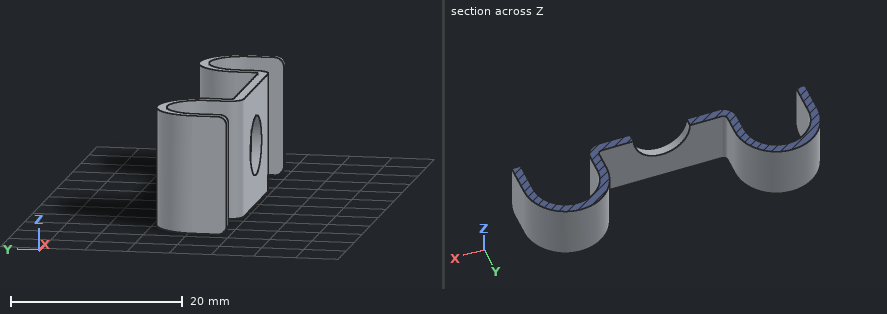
import cadquery as cq

thickness = 1.2
width = 14.0
overall_length = 36.8
overall_depth = 9.2
saddle_inner_radius = 4.0
bend_inner_radius = 0.5
hole_diameter = 7.0
leg_corner_radius = 1.0

saddle_outer_radius = saddle_inner_radius + thickness
bend_outer_radius = bend_inner_radius + thickness
saddle_x = overall_length / 2 - saddle_outer_radius
base_y = -overall_depth / 2
saddle_y = overall_depth / 2 - saddle_outer_radius
web_outer_x = saddle_x - saddle_inner_radius
web_inner_x = web_outer_x - thickness
bend_x = web_outer_x - bend_outer_radius
bend_y = base_y + bend_outer_radius


def sheet_ring(center_x, center_y, outer_radius):
    """Ring of sheet thickness around a bend axis, over the full strip width."""
    return (
        cq.Workplane("XY", origin=(center_x, center_y, -width / 2))
        .circle(outer_radius)
        .circle(outer_radius - thickness)
        .extrude(width)
    )


def block(x_min, x_max, y_min, y_max):
    """Rectangular piece spanning the full strip width."""
    return (
        cq.Workplane("XY", origin=(x_min, y_min, -width / 2))
        .rect(x_max - x_min, y_max - y_min, centered=False)
        .extrude(width)
    )


def outer_leg():
    """Straight free leg with its two end corners rounded."""
    leg = block(saddle_x + saddle_inner_radius, overall_length / 2, base_y, saddle_y)
    return leg.faces("<Y").edges("|X").fillet(leg_corner_radius)


def saddle():
    """Half-round channel that holds the pipe."""
    upper_half = block(
        saddle_x - saddle_outer_radius, overall_length / 2, saddle_y, overall_depth / 2
    )
    return sheet_ring(saddle_x, saddle_y, saddle_outer_radius).intersect(upper_half)


def inner_leg():
    """Straight leg between the saddle and the bend."""
    return block(web_inner_x, web_outer_x, bend_y, saddle_y)


def base_bend():
    """Quarter-round bend from the inner leg to the base plate."""
    quarter = block(bend_x, web_outer_x, base_y, bend_y)
    return sheet_ring(bend_x, bend_y, bend_outer_radius).intersect(quarter)


def base_plate():
    """Flat plate between the two bends, with the central screw hole."""
    plate = block(-bend_x, bend_x, base_y, base_y + thickness)
    return plate.faces("<Y").workplane(centerOption="CenterOfBoundBox").hole(hole_diameter)


half_clip = outer_leg().union(saddle()).union(inner_leg()).union(base_bend())
result = base_plate().union(half_clip).union(half_clip.mirror("YZ"))